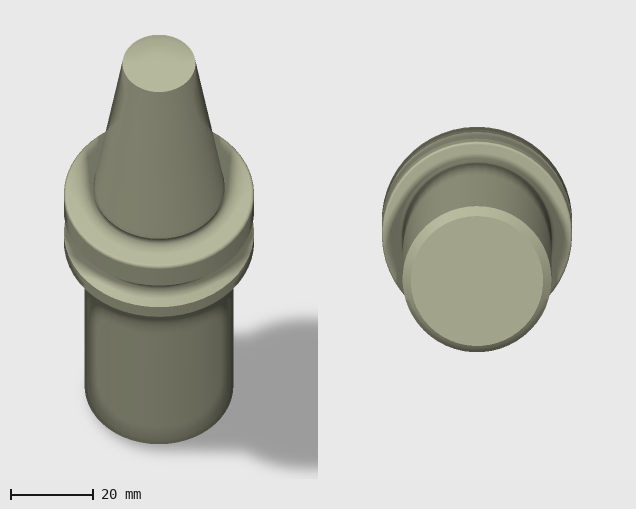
import cadquery as cq
import math

TAPER_LENGTH = 48.4
PROJECTION = 80.0

GAUGE_RADIUS = 31.75 / 2
TAPER_RATIO = 7 / 24
SMALL_END_RADIUS = GAUGE_RADIUS - TAPER_LENGTH * TAPER_RATIO / 2

NECK_RADIUS = 15.5
NECK_CONE_HEIGHT = 1.0
FLANGE_TOP_Z = -2.0
NECK_FILLET = 0.8

FLANGE_RADIUS = 46.0 / 2
FLANGE_BOTTOM_Z = -22.0
FLANGE_TOP_ROUND = 0.8
FLANGE_BOTTOM_ROUND = 0.6
GROOVE_CENTER_Z = -13.5
GROOVE_FLOOR_RADIUS = 18.8
GROOVE_FLOOR_WIDTH = 3.6
GROOVE_CORNER_FILLET = 0.5
GROOVE_FLANK_ANGLE = math.radians(30)

BODY_RADIUS = 18.0
BODY_FILLET = 1.0
END_CHAMFER_RADIAL = 2.0
END_CHAMFER_HEIGHT = 2.3


def taper():
    """Solid cone from the gauge plane up to the small end."""
    return (
        cq.Workplane("XZ")
        .moveTo(0, 0)
        .lineTo(GAUGE_RADIUS, 0)
        .lineTo(SMALL_END_RADIUS, TAPER_LENGTH)
        .lineTo(0, TAPER_LENGTH)
        .close()
        .revolve(360, (0, 0, 0), (0, 1, 0))
    )


def neck_flange_and_body():
    """Everything below the gauge plane, revolved from one half profile."""
    body_end_z = -PROJECTION
    return (
        cq.Workplane("XZ")
        .moveTo(0, 0)
        .lineTo(GAUGE_RADIUS, 0)
        .lineTo(NECK_RADIUS, -NECK_CONE_HEIGHT)
        .lineTo(NECK_RADIUS, FLANGE_TOP_Z + NECK_FILLET)
        .radiusArc((NECK_RADIUS + NECK_FILLET, FLANGE_TOP_Z), -NECK_FILLET)
        .lineTo(FLANGE_RADIUS - FLANGE_TOP_ROUND, FLANGE_TOP_Z)
        .radiusArc((FLANGE_RADIUS, FLANGE_TOP_Z - FLANGE_TOP_ROUND), FLANGE_TOP_ROUND)
        .lineTo(FLANGE_RADIUS, FLANGE_BOTTOM_Z + FLANGE_BOTTOM_ROUND)
        .radiusArc((FLANGE_RADIUS - FLANGE_BOTTOM_ROUND, FLANGE_BOTTOM_Z), FLANGE_BOTTOM_ROUND)
        .lineTo(BODY_RADIUS + BODY_FILLET, FLANGE_BOTTOM_Z)
        .radiusArc((BODY_RADIUS, FLANGE_BOTTOM_Z - BODY_FILLET), -BODY_FILLET)
        .lineTo(BODY_RADIUS, body_end_z + END_CHAMFER_HEIGHT)
        .lineTo(BODY_RADIUS - END_CHAMFER_RADIAL, body_end_z)
        .lineTo(0, body_end_z)
        .close()
        .revolve(360, (0, 0, 0), (0, 1, 0))
    )


def gripper_groove():
    """Ring-shaped cutter: V flanks, flat floor and rounded floor corners."""
    half_floor = GROOVE_FLOOR_WIDTH / 2
    flank_height = (FLANGE_RADIUS - GROOVE_FLOOR_RADIUS) * math.tan(GROOVE_FLANK_ANGLE)
    half_mouth = half_floor + flank_height
    ring = (
        cq.Workplane("XZ")
        .moveTo(FLANGE_RADIUS, GROOVE_CENTER_Z + half_mouth)
        .lineTo(GROOVE_FLOOR_RADIUS, GROOVE_CENTER_Z + half_floor)
        .lineTo(GROOVE_FLOOR_RADIUS, GROOVE_CENTER_Z - half_floor)
        .lineTo(FLANGE_RADIUS, GROOVE_CENTER_Z - half_mouth)
        .close()
        .revolve(360, (0, 0, 0), (0, 1, 0))
    )
    floor_corners = cq.selectors.RadiusNthSelector(0)
    return ring.edges("%CIRCLE").edges(floor_corners).fillet(GROOVE_CORNER_FILLET)


result = taper().union(neck_flange_and_body()).cut(gripper_groove())